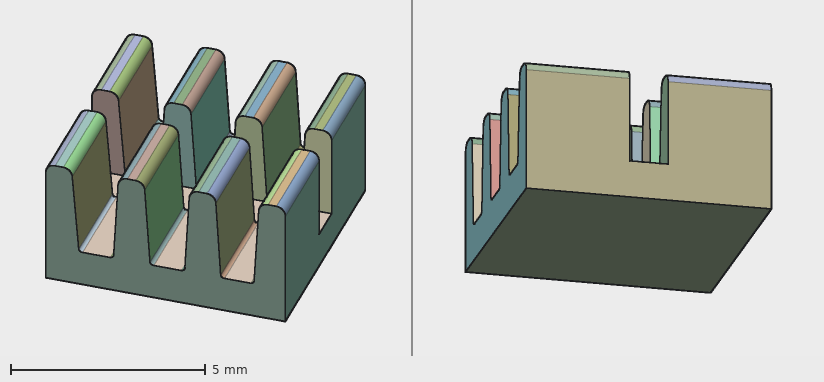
import cadquery as cq

side = 6.5
height = 3.5
base_thickness = 0.99
cross_slot_width = 1.015
tip_radius = 0.25
root_radius = 0.1

channels = [
    (0.7, 0.905, 1.84, 1.975),
    (2.67, 2.835, 3.77, 3.905),
    (4.6, 4.75, 5.65, 5.79),
]


def fin_profile():
    """Closed outline of base and tapered fins in the XZ plane, with sharp corners."""
    left = -side / 2
    right = side / 2
    points = [(left, 0), (left, height)]
    for top_left, floor_left, floor_right, top_right in channels:
        points += [
            (left + top_left, height),
            (left + floor_left, base_thickness),
            (left + floor_right, base_thickness),
            (left + top_right, height),
        ]
    points += [(right, height), (right, 0)]
    return cq.Workplane("XZ").polyline(points).close()


def edges_at_height(body, z):
    """Lengthwise edges of the body lying at the given height."""
    tolerance = 0.005
    box = cq.selectors.BoxSelector(
        (-side, -side, z - tolerance),
        (side, side, z + tolerance),
    )
    return body.edges("|Y").edges(box)


body = fin_profile().extrude(side / 2, both=True)
body = edges_at_height(body, height).fillet(tip_radius)
body = edges_at_height(body, base_thickness).fillet(root_radius)

cross_slot = cq.Workplane("XY").workplane(offset=base_thickness).rect(
    side, cross_slot_width
).extrude(height - base_thickness)

result = body.cut(cross_slot)